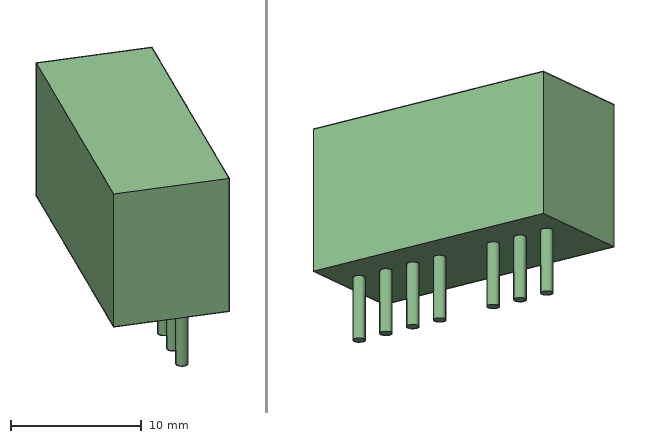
import cadquery as cq

housing_length = 21.8
housing_width = 9.2
overall_height = 16.7
pin_length = 5.1
housing_height = overall_height - pin_length

pin_diameter = 0.95
pin_row_span = 17.79
pin_positions = 8
pin_pitch = pin_row_span / (pin_positions - 1)
empty_position = 3
pin_row_y = 1.4


def make_housing():
    return cq.Workplane("XY").box(
        housing_length, housing_width, housing_height, centered=(True, True, False)
    )


def make_pin(x):
    """Round pin hanging from the underside of the housing."""
    return cq.Workplane("XY").center(x, pin_row_y).circle(pin_diameter / 2).extrude(-pin_length)


housing = make_housing()

first_pin_x = -pin_row_span / 2
pins = [
    make_pin(first_pin_x + position * pin_pitch)
    for position in range(pin_positions)
    if position != empty_position
]

result = cq.Compound.makeCompound([housing.val(), *[pin.val() for pin in pins]])